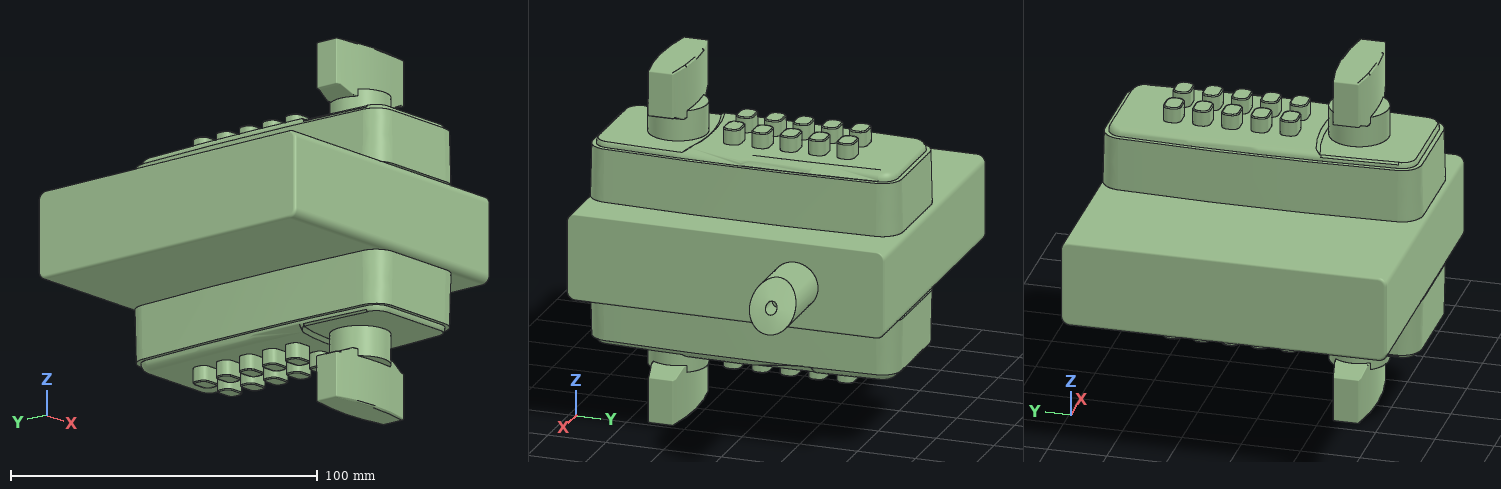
import cadquery as cq
import math


block_length_y = 110.0
block_thickness = 30.0
block_left_x = -63.7
block_right_x = 34.5
block_long_edge_radius = 3.0
block_left_edge_radius = 1.0
block_right_edge_radius = 0.5
bolt_diameter = 16.0
bolt_y = 24.0
bolt_tip_x = block_left_x + 124.4
bolt_nose_length = 11.2
bolt_nose_bulge = 1.9
bolt_nose_crown_offset = 1.5
bolt_hole_diameter = 4.0
bolt_hole_depth = 10.0

housing_length = 108.0
housing_end_width = 40.2
housing_side_bulge = 1.7
housing_corner_radius = 7.2
skirt_height = 0.6
wall_top_height = 18.3
wall_draft = 1.4
ledge_width = 1.5
keypad_height = 21.4
keypad_edge_radius = 3.0
plateau_height = 20.1
plateau_edge_chamfer = 0.9
plateau_edge_end_y = -20.9
step_arc_radius = 63.4
step_arc_top_y = -17.7

button_columns = 2
button_rows = 5
button_column_pitch = 12.3
button_row_pitch = 9.8
first_row_y = 32.15
button_length = 8.2
button_width = 6.0
button_corner_radius = 2.4
button_top_height = 26.7
button_edge_chamfer = 0.4

knob_y = -28.7
stem_diameter = 20.0
grip_length = 34.0
grip_end_width = 8.7
grip_bulge = 2.0
grip_bottom_height = 30.5
grip_top_height = 46.33
grip_top_radius = 0.6
grip_edge_radius = 0.4
ear_depth = 2.5
ear_start_x = 15.2
ear_end_x = 10.0

block_top_z = block_thickness / 2
wall_inset = (wall_top_height - skirt_height) * math.tan(math.radians(wall_draft))
cover_inset = wall_inset + ledge_width


def make_door():
    """Door block with the latch bolt standing out of its +X side."""
    block = (
        cq.Workplane("YZ", origin=(block_left_x, 0, 0))
        .rect(block_length_y, block_thickness)
        .extrude(block_right_x - block_left_x)
        .edges("|X")
        .fillet(block_long_edge_radius)
        .faces("<X")
        .edges()
        .fillet(block_left_edge_radius)
        .faces(">X")
        .edges()
        .fillet(block_right_edge_radius)
    )
    return block.union(make_bolt())


def make_bolt():
    """Round bolt whose nose is cut obliquely by a large sphere, with a blind hole in the nose."""
    radius = bolt_diameter / 2
    half_chord = math.hypot(bolt_nose_length, bolt_diameter) / 2
    sphere_radius = (half_chord**2 + bolt_nose_bulge**2) / (2 * bolt_nose_bulge)
    center_offset = sphere_radius - bolt_nose_bulge
    center_x = bolt_tip_x - bolt_nose_length / 2 - center_offset * radius / half_chord
    center_z = -center_offset * bolt_nose_length / 2 / half_chord
    crown_y = bolt_y + bolt_nose_crown_offset
    rod = (
        cq.Workplane("YZ", origin=(block_right_x, bolt_y, 0))
        .circle(radius)
        .extrude(bolt_tip_x - block_right_x)
    )
    nose_sphere = cq.Workplane("XY", origin=(center_x, crown_y, center_z)).sphere(sphere_radius)
    hole = (
        cq.Workplane("YZ", origin=(bolt_tip_x - bolt_hole_depth, bolt_y, 0))
        .circle(bolt_hole_diameter / 2)
        .extrude(bolt_hole_depth)
    )
    return rod.intersect(nose_sphere).cut(hole)


def housing_prism(inset, base_height, height, draft=0):
    """Housing outline with bowed sides, drawn in by an inset and raised from a base height."""
    half_width = housing_end_width / 2 - inset
    half_length = housing_length / 2 - inset
    widest = half_width + housing_side_bulge
    outline = (
        cq.Workplane("XY")
        .moveTo(-half_width, -half_length)
        .lineTo(half_width, -half_length)
        .threePointArc((widest, 0), (half_width, half_length))
        .lineTo(-half_width, half_length)
        .threePointArc((-widest, 0), (-half_width, -half_length))
        .close()
        .wires()
        .val()
    )
    rounded = outline.fillet2D(housing_corner_radius - inset, outline.Vertices())
    return (
        cq.Workplane("XY", origin=(0, 0, block_top_z + base_height))
        .add(rounded.moved(cq.Location(cq.Vector(0, 0, block_top_z + base_height))))
        .toPending()
        .extrude(height, taper=draft)
    )


def plateau_cutter():
    """Flaring disc that lowers the cover around the knob and leaves a sloping arc step."""
    flare = keypad_height - plateau_height
    return (
        cq.Workplane(
            "XY", origin=(0, step_arc_top_y - step_arc_radius, block_top_z + plateau_height)
        )
        .circle(step_arc_radius)
        .workplane(offset=flare)
        .circle(step_arc_radius + flare)
        .loft()
    )


def plateau_edge_cutter():
    """Strip that bevels the long -X edge of the plateau at 45 degrees."""
    base_height = plateau_height - plateau_edge_chamfer
    bevelled = housing_prism(cover_inset, base_height, plateau_edge_chamfer, 45)
    start_y = housing_corner_radius - housing_length / 2
    strip = (
        cq.Workplane("XY", origin=(0, start_y, block_top_z + base_height))
        .rect(-housing_end_width, plateau_edge_end_y - start_y, centered=False)
        .extrude(plateau_edge_chamfer)
    )
    return strip.cut(bevelled)


def make_button(x, y):
    """Push button with rounded corners and a chamfered top, standing on the keypad."""
    return (
        cq.Workplane("XY", origin=(x, y, block_top_z + keypad_height))
        .rect(button_length, button_width)
        .extrude(button_top_height - keypad_height)
        .edges("|Z")
        .fillet(button_corner_radius)
        .faces(">Z")
        .chamfer(button_edge_chamfer)
    )


def make_housing():
    """Housing on the +Z side of the door: drafted wall, raised keypad, knob plateau and buttons."""
    skirt = housing_prism(0, 0, skirt_height)
    wall = housing_prism(0, skirt_height, wall_top_height - skirt_height, wall_draft)
    cover = (
        housing_prism(cover_inset, wall_top_height, keypad_height - wall_top_height)
        .faces(">Z")
        .edges()
        .fillet(keypad_edge_radius)
        .cut(plateau_cutter())
        .cut(plateau_edge_cutter())
    )
    housing = skirt.union(wall).union(cover)
    for column in range(button_columns):
        for row in range(button_rows):
            x = (column - (button_columns - 1) / 2) * button_column_pitch
            y = first_row_y - row * button_row_pitch
            housing = housing.union(make_button(x, y))
    return housing


def make_knob():
    """Knob on the +Z side: round stem under a bowed grip with sloping ears."""
    half_length = grip_length / 2
    half_end = grip_end_width / 2
    ear_bottom = grip_bottom_height - ear_depth
    plan = (
        cq.Workplane("XY", origin=(0, knob_y, block_top_z + ear_bottom))
        .moveTo(-half_length, -half_end)
        .threePointArc((0, -half_end - grip_bulge), (half_length, -half_end))
        .lineTo(half_length, half_end)
        .threePointArc((0, half_end + grip_bulge), (-half_length, half_end))
        .close()
        .extrude(grip_top_height - ear_bottom)
        .edges("|Z")
        .fillet(grip_edge_radius)
        .faces(">Z")
        .edges()
        .fillet(grip_top_radius)
    )
    side_profile = (
        cq.Workplane("XZ", origin=(0, knob_y, block_top_z))
        .moveTo(-half_length, grip_top_height)
        .lineTo(-half_length, grip_bottom_height)
        .lineTo(-ear_start_x, grip_bottom_height)
        .lineTo(-ear_end_x, ear_bottom)
        .lineTo(ear_end_x, ear_bottom)
        .lineTo(ear_start_x, grip_bottom_height)
        .lineTo(half_length, grip_bottom_height)
        .lineTo(half_length, grip_top_height)
        .close()
        .extrude(grip_end_width + 2 * grip_bulge, both=True)
    )
    stem = (
        cq.Workplane("XY", origin=(0, knob_y, block_top_z + plateau_height))
        .circle(stem_diameter / 2)
        .extrude(grip_bottom_height - plateau_height)
    )
    grip = plan.intersect(side_profile)
    underside = cq.selectors.BoxSelector(
        (-grip_length, knob_y - grip_length, block_top_z),
        (grip_length, knob_y + grip_length, block_top_z + grip_bottom_height + grip_edge_radius),
    )
    grip = grip.edges(underside).fillet(grip_edge_radius)
    return grip.union(stem)


door = make_door()
upper_housing = make_housing()
lower_housing = upper_housing.mirror("XY")
upper_knob = make_knob()
lower_knob = upper_knob.mirror("XY")

result = cq.Compound.makeCompound(
    [
        door.val(),
        upper_housing.val(),
        lower_housing.val(),
        upper_knob.val(),
        lower_knob.val(),
    ]
)